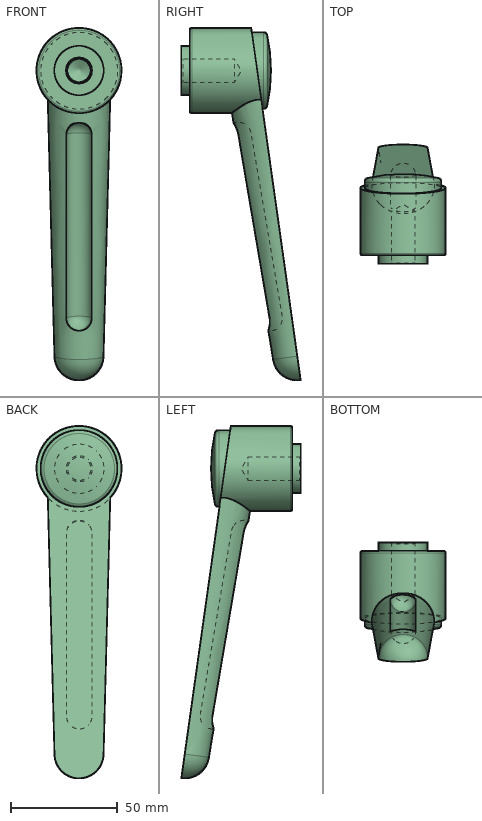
import cadquery as cq
import math

hub_radius = 20.0
hub_front_y = 4.0
hub_edge_round = 1.0
boss_radius = 11.5
cap_radius = 18.0
cap_rim_y = 40.3
cap_apex_y = 42.0
cap_face_radius = 16.5
cap_side_end_y = 38.3
cap_corner_bulge = 0.7

hole_radius = 5.5
hole_mouth_radius = 6.1
hole_depth = 24.8
drill_point_angle = 118.0

total_height = 165.0
total_depth = 56.0
lever_tilt = math.radians(8.0)
tip_radius = 11.5
lever_root_radius = 15.0

groove_radius = 6.0
groove_top_z = -30.0
groove_bottom_z = -115.8
refinement_steps = 8

tip_centre_z = hub_radius - total_height + tip_radius
tip_centre_y = total_depth - tip_radius * math.sin(lever_tilt)
root_y = tip_centre_y + tip_centre_z * math.tan(lever_tilt)
lever_length = -tip_centre_z / math.cos(lever_tilt)

lever_plane = cq.Plane(
    origin=(0, root_y, 0),
    xDir=(0, math.cos(lever_tilt), math.sin(lever_tilt)),
    normal=(0, math.sin(lever_tilt), -math.cos(lever_tilt)),
)


def revolve_about_hub_axis(profile):
    """Revolve a closed (radius, y) profile around the Y axis."""
    return profile.revolve(360, (0, 0), (0, 1))


def behind_flat_back():
    """Block of space behind the plane of the lever's flat back."""
    size = 4 * total_height
    return cq.Workplane(lever_plane).box(size, size, size, centered=(False, True, True))


def make_hub():
    hub = cq.Workplane("XZ", origin=(0, hub_front_y, 0)).circle(hub_radius).extrude(-total_depth)
    return hub.faces("<Y").edges().fillet(hub_edge_round)


def make_lever():
    cone = cq.Solid.makeCone(
        lever_root_radius, tip_radius, lever_length, lever_plane.origin, lever_plane.zDir
    )
    tip = cq.Workplane("XY").sphere(tip_radius).translate((0, tip_centre_y, tip_centre_z))
    return cq.Workplane(obj=cone).union(tip)


def groove_end(z):
    """Centre of a groove end, where the groove's full width meets the cone surface."""
    along = -z / math.cos(lever_tilt)
    for _ in range(refinement_steps):
        radius = lever_root_radius + (tip_radius - lever_root_radius) * along / lever_length
        height = math.sqrt(radius**2 - groove_radius**2)
        along = (-z - height * math.sin(lever_tilt)) / math.cos(lever_tilt)
    return lever_plane.toWorldCoords((-height, 0, along))


def make_groove():
    top = groove_end(groove_top_z)
    bottom = groove_end(groove_bottom_z)
    span = bottom - top
    groove = cq.Workplane(obj=cq.Solid.makeCylinder(groove_radius, span.Length, top, span))
    for centre in (top, bottom):
        groove = groove.union(cq.Workplane("XY").sphere(groove_radius).translate(centre))
    return groove


def make_cap_and_boss():
    boss = cq.Workplane("XZ").circle(boss_radius).extrude(-hub_front_y - hub_edge_round)
    corner = (
        cap_face_radius + cap_corner_bulge * (cap_radius - cap_face_radius),
        cap_side_end_y + cap_corner_bulge * (cap_rim_y - cap_side_end_y),
    )
    dome_rise = cap_apex_y - cap_rim_y
    dome_radius = (cap_face_radius**2 + dome_rise**2) / (2 * dome_rise)
    cap = revolve_about_hub_axis(
        cq.Workplane("XY")
        .moveTo(0, hub_radius)
        .lineTo(cap_radius, hub_radius)
        .lineTo(cap_radius, cap_side_end_y)
        .threePointArc(corner, (cap_face_radius, cap_rim_y))
        .radiusArc((0, cap_apex_y), -dome_radius)
        .close()
    )
    return cap.union(boss)


def make_hole():
    chamfer = hole_mouth_radius - hole_radius
    point_depth = hole_radius / math.tan(math.radians(drill_point_angle / 2))
    return revolve_about_hub_axis(
        cq.Workplane("XY").polyline([
            (0, 0),
            (hole_mouth_radius, 0),
            (hole_radius, chamfer),
            (hole_radius, hole_depth),
            (0, hole_depth + point_depth),
        ]).close()
    )


lever = make_lever().cut(make_groove())
body = make_hub().union(lever).cut(behind_flat_back())
result = body.union(make_cap_and_boss()).cut(make_hole())